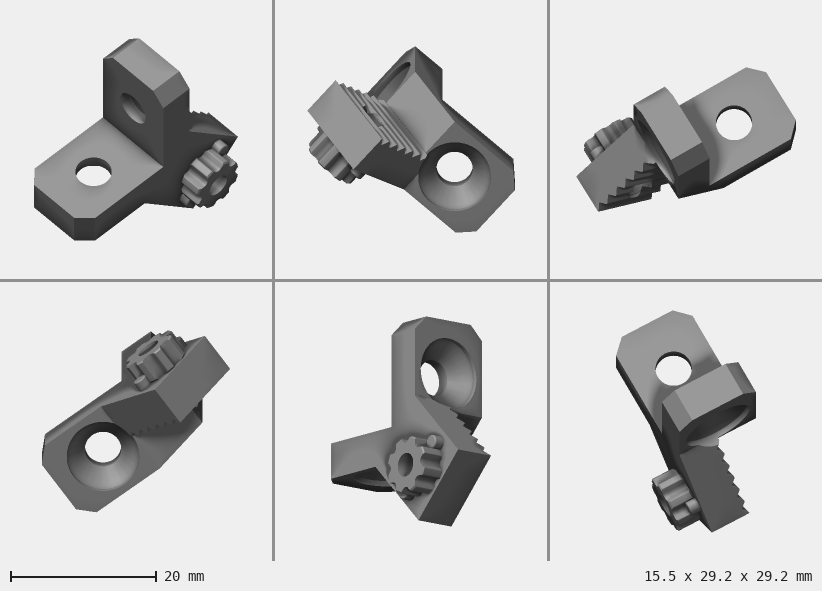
import cadquery as cq
import math


width = 12.0
leg_length = 20.0
leg_thickness = 5.0
end_chamfer = 2.0
bolt_hole_diameter = 5.0
bolt_hole_to_end = 7.5
head_diameter = 2 * bolt_hole_diameter
head_recess_depth = 0.75
corner_cut = 5.1

arm_reach = 7.0
arm_width = width
arm_thickness = width / 2
groove_count = 6
groove_pitch = arm_width / groove_count
groove_depth = groove_pitch / 2
crest_radius = 0.23

pivot_distance = 3.0
pivot_hole_diameter = 4.0
pivot_mouth_diameter = 4.2
pivot_mouth_depth = 0.55
knob_radius = 4.0
knob_length = 3.5
knob_bore_diameter = 3.3
knob_inner_chamfer = 0.3
knob_outer_chamfer = 0.2
flute_count = 8
flute_root_radius = 0.7
tooth_corner_radius = 0.2
pin_radius = 1.0
pin_offset = 3.0
pin_length = 1.5
pin_fillet = 0.23

half_width = width / 2
pivot_offset = pivot_distance / math.sqrt(2)
hole_from_corner = leg_length - bolt_hole_to_end
pin_circle_radius = pin_offset * math.sqrt(2)
flute_vertex_radius = pin_circle_radius - pin_radius * math.sqrt(2)
cutter_length = leg_length

along = (0, 1, -1)
across = (0, -1, -1)
arm_section_plane = cq.Plane(origin=(0, 0, 0), xDir=along, normal=across)
knob_plane = cq.Plane(origin=(half_width, pivot_offset, -pivot_offset), xDir=(0, 1, 0), normal=(1, 0, 0))
upright_plane = cq.Plane(origin=(0, 0, 0), xDir=(1, 0, 0), normal=(0, 1, 0))
base_plane = cq.Plane(origin=(0, 0, 0), xDir=(1, 0, 0), normal=(0, 0, -1))


def make_legs():
    """L-shaped pair of legs with the outer corner cut flat and the free ends chamfered."""
    corner_cut_leg = corner_cut * math.sqrt(2)
    legs = (
        cq.Workplane("YZ", origin=(-half_width, 0, 0))
        .moveTo(0, corner_cut_leg)
        .lineTo(0, leg_length)
        .lineTo(-leg_thickness, leg_length)
        .lineTo(-leg_thickness, leg_thickness)
        .lineTo(-leg_length, leg_thickness)
        .lineTo(-leg_length, 0)
        .lineTo(-corner_cut_leg, 0)
        .close()
        .extrude(width)
    )
    legs = legs.faces(">Z").edges("|Y").chamfer(end_chamfer)
    return legs.faces("<Y").edges("|Z").chamfer(end_chamfer)


def make_arm():
    """Arm with 90 degree grooves across its -X face; the crests between grooves are rounded."""
    crest_center_height = crest_radius * math.sqrt(2)
    flank_angle = math.radians(45)
    tangent = crest_radius * math.sin(flank_angle)
    middle_run = crest_radius * math.sin(flank_angle / 2)
    middle_height = crest_center_height - crest_radius * math.cos(flank_angle / 2)
    crest_top = crest_center_height - crest_radius

    section = (
        cq.Workplane(arm_section_plane)
        .moveTo(-half_width, 0)
        .lineTo(-half_width, arm_thickness)
        .lineTo(arm_reach, arm_thickness)
        .lineTo(arm_reach, crest_top)
    )
    for groove in range(groove_count):
        start = arm_reach - groove * groove_pitch
        stop = start - groove_pitch
        section = (
            section
            .threePointArc((start - middle_run, middle_height), (start - tangent, tangent))
            .lineTo(start - groove_pitch / 2, groove_depth)
        )
        if groove < groove_count - 1:
            section = (
                section
                .lineTo(stop + tangent, tangent)
                .threePointArc((stop + middle_run, middle_height), (stop, crest_top))
            )
        else:
            section = section.lineTo(stop, 0)
    return section.close().extrude(arm_width / 2, both=True)


def bolt_hole_cutter(outer_face, hole_y):
    """Bolt hole with a 90 degree countersink; the head recess also clears the arm outside the leg."""
    bolt_radius = bolt_hole_diameter / 2
    head_radius = head_diameter / 2
    cone_depth = head_recess_depth + head_radius - bolt_radius
    half_section = (
        cq.Workplane("XZ")
        .moveTo(0, cutter_length)
        .lineTo(head_radius, cutter_length)
        .lineTo(head_radius, -head_recess_depth)
        .lineTo(bolt_radius, -cone_depth)
        .lineTo(bolt_radius, -leg_thickness)
        .lineTo(0, -leg_thickness)
        .close()
    )
    cutter = half_section.revolve(360, (0, 0, 0), (0, 1, 0)).translate((0, hole_y, 0))
    return cutter.val().moved(outer_face.location)


def pivot_hole_cutter():
    """Pivot hole through the arm with its wider mouth on the grooved side."""
    hole = cq.Workplane(knob_plane).circle(pivot_hole_diameter / 2).extrude(-arm_thickness)
    mouth = (
        cq.Workplane(knob_plane)
        .workplane(offset=-arm_thickness)
        .circle(pivot_mouth_diameter / 2)
        .extrude(pivot_mouth_depth)
    )
    return hole.union(mouth)


def make_bracket():
    bracket = make_legs().union(make_arm())
    bracket = bracket.cut(bolt_hole_cutter(upright_plane, -hole_from_corner))
    bracket = bracket.cut(bolt_hole_cutter(base_plane, hole_from_corner))
    return bracket.cut(pivot_hole_cutter()).solids().val()


def flute_cutter():
    """Prism with a 90 degree vertex toward the knob axis, rounded at that vertex."""
    wedge = (
        cq.Workplane("XY")
        .moveTo(flute_vertex_radius, 0)
        .lineTo(flute_vertex_radius + knob_radius, knob_radius)
        .lineTo(flute_vertex_radius + knob_radius, -knob_radius)
        .close()
        .extrude(knob_length)
    )
    return wedge.edges("|Z").edges("<X").fillet(flute_root_radius)


def is_tooth_corner(edge):
    """True for an edge on the outer surface of the knob."""
    center = edge.Center()
    return math.isclose(math.hypot(center.x, center.y), knob_radius, rel_tol=1e-4)


def make_knob():
    """Bored, fluted knob with rounded tooth corners, chamfered at both ends."""
    fluted = cq.Workplane("XY").circle(knob_radius).circle(knob_bore_diameter / 2).extrude(knob_length)
    flute = flute_cutter()
    for index in range(flute_count):
        fluted = fluted.cut(flute.rotate((0, 0, 0), (0, 0, 1), index * 360 / flute_count))
    fluted = fluted.edges("|Z").filter(is_tooth_corner).fillet(tooth_corner_radius)

    envelope = cq.Workplane("XY").circle(knob_radius).extrude(knob_length)
    envelope = envelope.faces("<Z").edges().chamfer(knob_inner_chamfer)
    envelope = envelope.faces(">Z").edges().chamfer(knob_outer_chamfer)
    knob = fluted.intersect(envelope).solids().val()
    return knob.moved(knob_plane.location)


def make_pin(side):
    """Pin standing on the arm in one knob flute, with a rounded free end."""
    return (
        cq.Workplane(knob_plane)
        .center(side * pin_offset, side * pin_offset)
        .circle(pin_radius)
        .extrude(pin_length)
        .faces(">X")
        .edges()
        .fillet(pin_fillet)
        .solids()
        .val()
    )


bracket = make_bracket()
knob = make_knob()
pins = [make_pin(side) for side in (-1, 1)]

result = cq.Compound.makeCompound([bracket, knob, *pins])